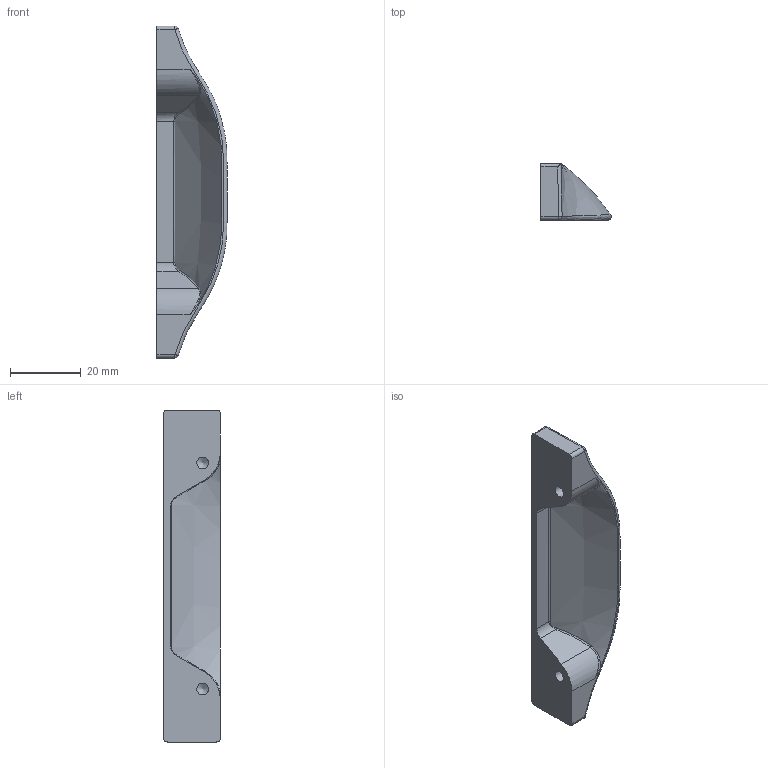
import cadquery as cq
import math

length = 94.0
width = 16.0
half_length = length / 2
edge_height = 5.7
rim_radius = 1.0

crest_height = 20.73
crest_half_length = 8.9
shoulder_end = 32.5
shoulder_radius = 40.5
section_bulge = 1.1
end_rise = 0.05
section_heights = (0, 8, 14, 20, 26, 32, 37, 42, half_length)

wall = 2.0
cavity_width = 14.0
cavity_half_length = 34.7
mouth_radius = 8.5
corner_radius = 3.0
side_angle = math.radians(60)
cavity_edge_radius = 0.5

hole_diameter = 3.3
hole_depth = 8.0
hole_tip_angle = math.radians(118)
hole_spacing = 64.0
hole_y = 5.0


def grip_height(z):
    """Sharp height of the grip in the Y = 0 plane at distance z from the middle."""
    shoulder_angle = math.asin((shoulder_end - crest_half_length) / shoulder_radius)
    shoulder_drop = shoulder_radius * (1 - math.cos(shoulder_angle))
    reach = max(min(z, shoulder_end) - crest_half_length, 0)
    drop = shoulder_radius - math.sqrt(shoulder_radius**2 - reach**2)
    if z > shoulder_end:
        tail = (z - shoulder_end) / (half_length - shoulder_end)
        slope_drop = math.tan(shoulder_angle) * (half_length - shoulder_end)
        total_drop = crest_height - edge_height - end_rise
        drop = shoulder_drop + slope_drop * tail
        drop += (total_drop - shoulder_drop - slope_drop) * tail**2
    return crest_height - drop


def cross_section(z):
    """Closed cross section at height z, with a bowed grip side."""
    height = grip_height(abs(z))
    rise = height - edge_height
    bulge = section_bulge * rise / (crest_height - edge_height)
    slant = math.hypot(rise, width)
    control = (
        edge_height + rise / 2 + 2 * bulge * width / slant,
        width / 2 + 2 * bulge * rise / slant,
    )
    outline = cq.Workplane("XY", origin=(0, 0, z)).moveTo(0, 0).lineTo(height, 0)
    outline = outline.bezier([(height, 0), control, (edge_height, width)])
    return outline.lineTo(0, width).close().val()


def make_grip():
    """Solid grip with sharp edges."""
    lower_heights = [-z for z in reversed(section_heights[1:])]
    sections = [cross_section(z) for z in [*lower_heights, *section_heights]]
    return cq.Workplane(cq.Solid.makeLoft(sections, False))


def round_rim(grip):
    """Round every edge except those of the mounting face and the back edge of the grip."""
    rim = grip.faces("<Y or <Z or >Z").edges().edges("not <X")
    return rim.fillet(rim_radius)


def make_cavity(grip):
    """Cavity: a prism along X ending at the grip surface moved inwards by the wall."""
    sin_turn = math.sin(side_angle)
    cos_turn = math.cos(side_angle)
    mouth_end = (mouth_radius * (1 - cos_turn), cavity_half_length - mouth_radius * sin_turn)
    corner_start_y = cavity_width - corner_radius * (1 - cos_turn)
    corner_start_z = mouth_end[1] - (corner_start_y - mouth_end[0]) / math.tan(side_angle)
    corner_end_z = corner_start_z - corner_radius * sin_turn
    half_turn = side_angle / 2
    mouth_middle = (
        mouth_radius * (1 - math.cos(half_turn)),
        cavity_half_length - mouth_radius * math.sin(half_turn),
    )
    corner_middle = (
        cavity_width - corner_radius * (1 - math.cos(half_turn)),
        corner_end_z + corner_radius * math.sin(half_turn),
    )
    half = (
        cq.Workplane("YZ")
        .moveTo(-wall, 0)
        .lineTo(-wall, cavity_half_length)
        .lineTo(0, cavity_half_length)
        .threePointArc(mouth_middle, mouth_end)
        .lineTo(corner_start_y, corner_start_z)
        .threePointArc(corner_middle, (cavity_width, corner_end_z))
        .lineTo(cavity_width, 0)
        .close()
        .extrude(crest_height)
    )
    prism = half.union(half.mirror("XY")).clean()
    slant_angle = math.atan2(crest_height - edge_height, width)
    inner = grip.translate((-wall * math.cos(slant_angle), -wall * math.sin(slant_angle), 0))
    cavity = prism.intersect(inner)
    inner_edges = cavity.edges("%BSPLINE").filter(lambda edge: edge.Center().y > 0)
    return inner_edges.fillet(cavity_edge_radius)


def make_hole(z):
    """Blind screw hole with a drill tip, entering from the mounting face."""
    radius = hole_diameter / 2
    tip = radius / math.tan(hole_tip_angle / 2)
    profile = (
        cq.Workplane("XY")
        .polyline([(0, 0), (hole_depth + tip, 0), (hole_depth, radius), (0, radius)])
        .close()
    )
    return profile.revolve(360, (0, 0, 0), (1, 0, 0)).translate((0, hole_y, z))


sharp_grip = make_grip()
result = round_rim(sharp_grip).cut(make_cavity(sharp_grip))
for hole_z in (-hole_spacing / 2, hole_spacing / 2):
    result = result.cut(make_hole(hole_z))